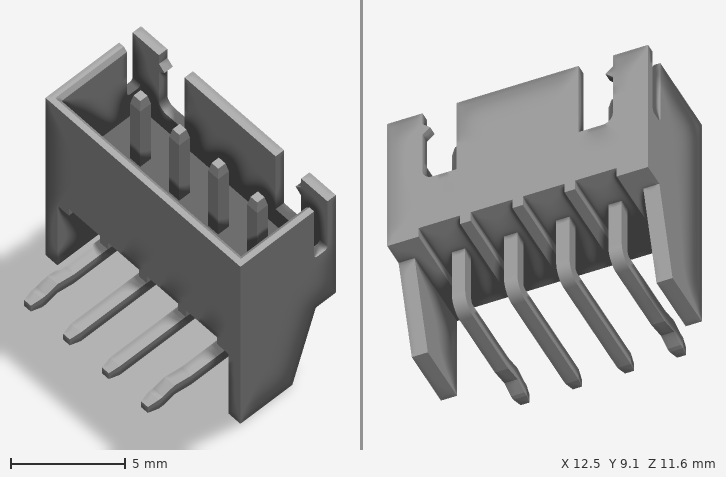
import cadquery as cq

width = 12.5
depth = 5.7
height = 11.6
wall = 0.5
base_z = 4.4

leg_thickness = 0.77
leg_top_depth = 4.5
leg_foot_depth = 3.1

mouth_chamfer = 0.2
floor_low_z = 6.0
floor_step = 0.5
floor_step_y = 2.38

arm_width = 1.69
back_slot_width = 1.64
back_slot_depth = 3.9
back_slot_radius = 0.5
side_slot_width = 0.8
side_slot_depth = 3.5
side_slot_radius = 0.2
nib_reach = 0.36
nib_half_height = 0.31
nib_drop = 0.95

pin_count = 4
pitch = 2.5
pin_size = 0.64
pin_y = 3.35
bend_radius = 0.2
pin_z = 1.9
pin_top_z = 11.15
tail_length = 3.4
taper_length = 0.57
tip_size = 0.43
kink_start = 0.9
kink_peak = 1.9
kink_end = 2.6
kink_rise = 0.2
notch_width = 2.0
notch_height = 0.5

pin_xs = [(i - (pin_count - 1) / 2) * pitch for i in range(pin_count)]


def box(x0, x1, y0, y1, z0, z1):
    """Axis-aligned block between the given limits."""
    block = cq.Workplane("XY").box(x1 - x0, y1 - y0, z1 - z0, centered=False)
    return block.translate((x0, y0, z0))


def extrude_x(points, x0, x1):
    """Prism with a (Y, Z) outline between two X positions."""
    return cq.Workplane("YZ", origin=(x0, 0, 0)).polyline(points).close().extrude(x1 - x0)


def mirrored(shape):
    """The shape together with its mirror image across X = 0."""
    return shape.union(shape.mirror("YZ"))


def make_cavity():
    """Socket interior: sloped-step floor and a chamfered mouth on the front and side walls."""
    half = width / 2 - wall
    back = depth - wall
    floor_high_z = floor_low_z + floor_step
    outline = [
        (wall, height),
        (wall, floor_low_z),
        (floor_step_y, floor_low_z),
        (floor_step_y + floor_step, floor_high_z),
        (back, floor_high_z),
        (back, height),
    ]
    cavity = extrude_x(outline, -half, half)
    mouth_front = wall - mouth_chamfer
    mouth = (
        cq.Workplane("XY", origin=(0, (mouth_front + back) / 2, height))
        .rect(2 * (half + mouth_chamfer), back - mouth_front)
        .extrude(-mouth_chamfer, taper=45)
    )
    return cavity.union(mouth)


def make_legs():
    """Two tapering side plates below the socket."""
    outline = [(0, 0), (leg_foot_depth, 0), (leg_top_depth, base_z), (0, base_z)]
    return mirrored(extrude_x(outline, width / 2 - leg_thickness, width / 2))


def make_latch_slots():
    """Slots either side of each latch arm: one in the side wall, one in the back wall."""
    arm_edge = width / 2 - arm_width
    back = depth - wall
    side_slot = (
        box(width / 2 - wall, width / 2, back - side_slot_width, back, height - side_slot_depth, height)
        .edges("|X and <Z").fillet(side_slot_radius)
    )
    back_slot = (
        box(arm_edge - back_slot_width, arm_edge, back, depth, height - back_slot_depth, height)
        .edges("|Y and <Z and >X").fillet(back_slot_radius)
    )
    return mirrored(side_slot.union(back_slot))


def make_nibs():
    """Triangular nibs on the slot edges of the latch arms."""
    arm_edge = width / 2 - arm_width
    tip_z = height - nib_drop
    nib = (
        cq.Workplane("XZ", origin=(0, depth, 0))
        .moveTo(arm_edge, tip_z + nib_half_height)
        .lineTo(arm_edge - nib_reach, tip_z)
        .lineTo(arm_edge, tip_z - nib_half_height)
        .close()
        .extrude(wall)
    )
    return mirrored(nib)


def make_housing():
    """Socket, legs, latch arms and the contact notches in the underside."""
    body = box(-width / 2, width / 2, 0, depth, base_z, height)
    body = body.cut(make_cavity()).union(make_legs())
    body = body.cut(make_latch_slots()).union(make_nibs())
    for x in pin_xs:
        body = body.cut(
            box(x - notch_width / 2, x + notch_width / 2, 0, depth, base_z, base_z + notch_height)
        )
    return body


def tapered_tip(plane):
    """Square pyramid frustum that ends a contact, growing along the plane normal."""
    return (
        cq.Workplane(plane)
        .rect(pin_size, pin_size)
        .workplane(offset=taper_length)
        .rect(tip_size, tip_size)
        .loft()
    )


def make_pin(x, kinked):
    """Right-angle contact; a kinked tail bends upward to grip its hole."""
    half = pin_size / 2
    top, bottom = pin_z + half, pin_z - half
    tail_end = taper_length - tail_length
    kink_top, kink_bottom = [], []
    if kinked:
        kink_top = [(-kink_end, top), (-kink_peak, top + kink_rise), (-kink_start, top)]
        kink_bottom = [(-kink_start, bottom), (-kink_peak, bottom + kink_rise), (-kink_end, bottom)]
    outline = (
        [(tail_end, bottom), (tail_end, top)]
        + kink_top
        + [
            (pin_y - half, top),
            (pin_y - half, pin_top_z - taper_length),
            (pin_y + half, pin_top_z - taper_length),
            (pin_y + half, bottom),
        ]
        + kink_bottom
    )
    pin = extrude_x(outline, x - half, x + half)
    inner_corner = cq.selectors.NearestToPointSelector((x, pin_y - half, top))
    outer_corner = cq.selectors.NearestToPointSelector((x, pin_y + half, bottom))
    pin = pin.edges(inner_corner).fillet(bend_radius)
    pin = pin.edges(outer_corner).fillet(bend_radius + pin_size)
    upper_tip = tapered_tip("XY").translate((x, pin_y, pin_top_z - taper_length))
    tail_tip = tapered_tip("XZ").translate((x, tail_end, pin_z))
    return pin.union(upper_tip).union(tail_tip)


result = make_housing()
for x in pin_xs:
    result = result.union(make_pin(x, kinked=x in (pin_xs[0], pin_xs[-1])))